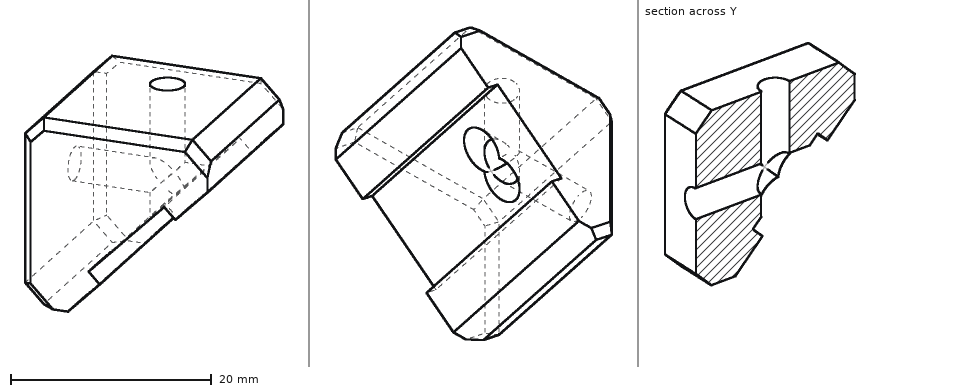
import cadquery as cq
import math

size = 20.0
corner_chamfer = 2.0
edge_chamfer = 1.0
flat_end = 5.0
slant_angle = 45.0
slot_width = 11.5
slot_depth = 1.7
hole_diameter = 3.5
hole_y = 4.0
hole_depth = 15.0

half = size / 2
slant_distance = flat_end / math.sqrt(2)


def make_block():
    """Cube with its three outer corners chamfered along Y."""
    block = cq.Workplane("XY").box(size, size, size)
    outer_corners = "(<X and >Z) or (>X and >Z) or (<X and <Z)"
    return block.edges("|Y").edges(outer_corners).chamfer(corner_chamfer)


def chamfer_end_faces(block):
    """Chamfer both end faces, except along the plain +X and -Z sides."""
    plain_sides = ">X or <Z"
    return block.faces("<Y or >Y").edges(f"not ({plain_sides})").chamfer(edge_chamfer)


def tilted_cutter(width, distance):
    """Box lying along Y beyond a plane facing +X -Z at the given distance from the centre."""
    reach = 2 * size
    cutter = cq.Workplane("XY").box(reach, reach, width).translate((distance + reach / 2, 0, 0))
    return cutter.rotate((0, 0, 0), (0, 1, 0), slant_angle)


def make_hole_from_top():
    """Vertical hole drilled down from the +Z face."""
    top = cq.Workplane("XY", origin=(0, hole_y, half))
    return top.circle(hole_diameter / 2).extrude(-hole_depth)


def make_hole_from_side():
    """Horizontal hole drilled in from the -X face."""
    side = cq.Workplane("YZ", origin=(-half, hole_y, 0))
    return side.circle(hole_diameter / 2).extrude(hole_depth)


body = chamfer_end_faces(make_block())
slant_cut = tilted_cutter(2 * size, slant_distance)
slot_cut = tilted_cutter(slot_width, slant_distance - slot_depth)
result = body.cut(slant_cut).cut(slot_cut).cut(make_hole_from_top()).cut(make_hole_from_side())